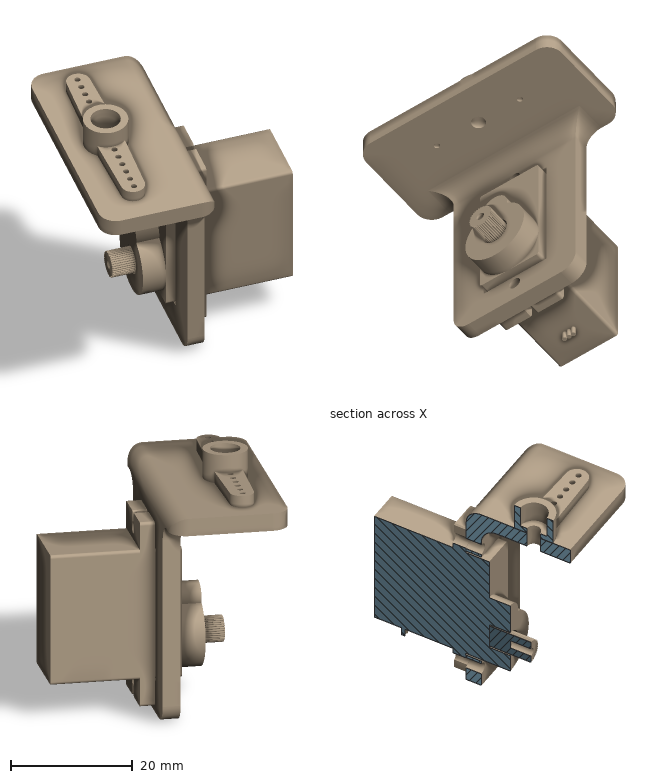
import cadquery as cq
import math


plate = 3.0
bracket_height = 38.0
shelf_width = 40.0
shelf_depth = 20.0
upright_width = 25.0
window_width = 13.0
window_height = 23.0
mount_hole_dia = 2.2
mount_hole_spacing = 26.5

servo_z = 17.0
case_width = 12.0
case_height = 22.5
case_rear = 17.5
case_front = 4.5
case_round = 0.5
ear_height = 32.0
ear_thick = 2.5
ear_hole_dia = 2.0
slot_width = 0.95
slot_mouth_width = 1.45
slot_mouth_depth = 0.2
dome_depth = 4.0
dome_radius = case_width / 2
lobe_radius = 2.55
shaft_z = servo_z - case_height / 2 + dome_radius
lobe_z = shaft_z + dome_radius
dome_front = case_front + dome_depth
bore_dia = 5.0
wire_count = 3
wire_dia = 0.8
wire_pitch = 0.9
wire_length = 1.5
wire_from_rear = 5.5

shaft_reach = 4.0
shaft_tip_dia = 4.5
shaft_root_dia = 4.13
shaft_teeth = 36
tooth_share = 0.6
screw_hole_dia = 1.5
screw_hole_depth = shaft_reach

horn_y = -13.0
horn_hub_dia = 7.5
horn_hub_height = 5.0
horn_socket_dia = 5.0
horn_socket_depth = 4.0
horn_screw_dia = 2.5
arm_thick = 1.98
arm_length = 16.0
arm_tip_radius = 2.0
arm_root_half_width = 2.5
link_hole_dia = 1.05
link_hole_first = 4.5
link_hole_last = 14.5
link_hole_count = 6
link_hole_pitch = (link_hole_last - link_hole_first) / (link_hole_count - 1)
pilot_index = 2
link_hole_x = [link_hole_first + i * link_hole_pitch for i in range(link_hole_count)]


def front_plane(depth):
    """XZ sketch plane at a distance in front of the bracket's rear face; it extrudes forward."""
    return cq.Workplane("XZ", origin=(0, -depth, 0))


def mount_points():
    half = mount_hole_spacing / 2
    return [(0, servo_z + half), (0, servo_z - half)]


def make_bracket():
    shelf_bottom = bracket_height - plate
    side = (
        cq.Workplane("YZ")
        .moveTo(-plate, 0)
        .lineTo(-plate, shelf_bottom - plate)
        .radiusArc((-2 * plate, shelf_bottom), -plate)
        .lineTo(-shelf_depth, shelf_bottom)
        .lineTo(-shelf_depth, bracket_height)
        .lineTo(-plate, bracket_height)
        .radiusArc((0, shelf_bottom), plate)
        .lineTo(0, 0)
        .close()
        .extrude(shelf_width / 2, both=True)
    )
    shelf_half = shelf_width / 2
    upright_half = upright_width / 2
    front = (
        front_plane(0)
        .moveTo(-upright_half + plate, 0)
        .lineTo(upright_half - plate, 0)
        .radiusArc((upright_half, plate), -plate)
        .lineTo(upright_half, shelf_bottom - plate)
        .radiusArc((upright_half + plate, shelf_bottom), plate)
        .lineTo(shelf_half, shelf_bottom)
        .lineTo(shelf_half, bracket_height)
        .lineTo(-shelf_half, bracket_height)
        .lineTo(-shelf_half, shelf_bottom)
        .lineTo(-upright_half - plate, shelf_bottom)
        .radiusArc((-upright_half, shelf_bottom - plate), plate)
        .lineTo(-upright_half, plate)
        .radiusArc((-upright_half + plate, 0), -plate)
        .close()
        .extrude(shelf_depth)
    )
    plan = (
        cq.Workplane("XY")
        .center(0, -shelf_depth / 2)
        .rect(shelf_width, shelf_depth)
        .extrude(bracket_height)
        .edges("|Z")
        .fillet(plate)
    )
    body = side.intersect(front).intersect(plan)

    window = front_plane(0).center(0, servo_z).rect(window_width, window_height).extrude(plate)
    mount_holes = front_plane(0).pushPoints(mount_points()).circle(mount_hole_dia / 2).extrude(plate)
    shelf_plane = cq.Workplane("XY", origin=(0, horn_y, shelf_bottom))
    screw_hole = shelf_plane.circle(horn_screw_dia / 2).extrude(plate)
    pilot_x = link_hole_x[pilot_index]
    pilot_holes = (
        shelf_plane.pushPoints([(-pilot_x, 0), (pilot_x, 0)]).circle(link_hole_dia / 2).extrude(plate)
    )
    return body.cut(window).cut(mount_holes).cut(screw_hole).cut(pilot_holes)


def rounded_block(height, rear, length):
    """Block of the case width running forward from a rear position, with rounded long edges."""
    return (
        front_plane(-rear)
        .center(0, servo_z)
        .rect(case_width, height)
        .extrude(length)
        .edges("|Y")
        .fillet(case_round)
    )


def make_ear_openings():
    """Screw holes in the mounting ears, each with a flared slot to the end of its ear."""
    holes = front_plane(-ear_thick).pushPoints(mount_points()).circle(ear_hole_dia / 2).extrude(ear_thick)
    for side in (1, -1):
        hole_z = servo_z + side * mount_hole_spacing / 2
        end_z = servo_z + side * ear_height / 2
        mouth_z = end_z - side * slot_mouth_depth
        slot = (
            front_plane(-ear_thick)
            .moveTo(-slot_width / 2, hole_z)
            .lineTo(-slot_width / 2, mouth_z)
            .lineTo(-slot_mouth_width / 2, end_z)
            .lineTo(slot_mouth_width / 2, end_z)
            .lineTo(slot_width / 2, mouth_z)
            .lineTo(slot_width / 2, hole_z)
            .close()
            .extrude(ear_thick)
        )
        holes = holes.union(slot)
    return holes


def make_servo():
    case = rounded_block(case_height, case_rear, case_rear + case_front)
    ears = rounded_block(ear_height, ear_thick, ear_thick).cut(make_ear_openings())
    dome = front_plane(case_front).center(0, shaft_z).circle(dome_radius).extrude(dome_depth)
    lobe = front_plane(case_front).center(0, lobe_z).circle(lobe_radius).extrude(dome_depth)
    bore = front_plane(case_front).center(0, shaft_z).circle(bore_dia / 2).extrude(dome_depth)
    servo = case.union(ears).union(dome).union(lobe).cut(bore)

    case_bottom = servo_z - case_height / 2
    wire_root = case_bottom + case_round
    middle = (wire_count - 1) / 2
    wire_points = [((i - middle) * wire_pitch, 0) for i in range(wire_count)]
    wires = (
        cq.Workplane("XY", origin=(0, case_rear - wire_from_rear, wire_root))
        .pushPoints(wire_points)
        .circle(wire_dia / 2)
        .extrude(-(wire_length + case_round))
    )
    return servo.union(wires)


def make_shaft():
    """Shaft with round-topped spline teeth, standing on the floor of the gear cover's bore."""
    tooth_step = 2 * math.pi / shaft_teeth
    half_tooth = tooth_share * tooth_step / 2

    def polar(diameter, angle):
        return (diameter / 2 * math.cos(angle), diameter / 2 * math.sin(angle))

    profile = front_plane(case_front).center(0, shaft_z).moveTo(*polar(shaft_root_dia, -half_tooth))
    for i in range(shaft_teeth):
        angle = i * tooth_step
        tip = polar(shaft_tip_dia, angle)
        tooth_end = polar(shaft_root_dia, angle + half_tooth)
        profile = profile.threePointArc(tip, tooth_end)
        if i < shaft_teeth - 1:
            profile = profile.lineTo(*polar(shaft_root_dia, angle + tooth_step - half_tooth))
    spline = profile.close().extrude(dome_depth + shaft_reach)
    screw_hole = (
        front_plane(dome_front + shaft_reach - screw_hole_depth)
        .center(0, shaft_z)
        .circle(screw_hole_dia / 2)
        .extrude(screw_hole_depth)
    )
    return spline.cut(screw_hole)


def make_horn():
    seat = cq.Workplane("XY", origin=(0, horn_y, bracket_height))
    horn = seat.circle(horn_hub_dia / 2).extrude(horn_hub_height)
    tip_x = arm_length - arm_tip_radius
    arms = (
        seat.moveTo(-tip_x, -arm_tip_radius)
        .lineTo(0, -arm_root_half_width)
        .lineTo(tip_x, -arm_tip_radius)
        .threePointArc((arm_length, 0), (tip_x, arm_tip_radius))
        .lineTo(0, arm_root_half_width)
        .lineTo(-tip_x, arm_tip_radius)
        .threePointArc((-arm_length, 0), (-tip_x, -arm_tip_radius))
        .close()
        .extrude(arm_thick)
    )
    link_points = [(side * x, 0) for side in (1, -1) for x in link_hole_x]
    link_holes = seat.pushPoints(link_points).circle(link_hole_dia / 2).extrude(arm_thick)
    socket = (
        seat.workplane(offset=horn_hub_height - horn_socket_depth)
        .circle(horn_socket_dia / 2)
        .extrude(horn_socket_depth)
    )
    screw_hole = seat.circle(horn_screw_dia / 2).extrude(horn_hub_height)
    return horn.union(arms).cut(link_holes).cut(socket).cut(screw_hole)


bracket = make_bracket()
servo = make_servo()
shaft = make_shaft()
horn = make_horn()

bodies = [bracket, servo, shaft, horn]
result = cq.Compound.makeCompound([body.solids().val() for body in bodies])